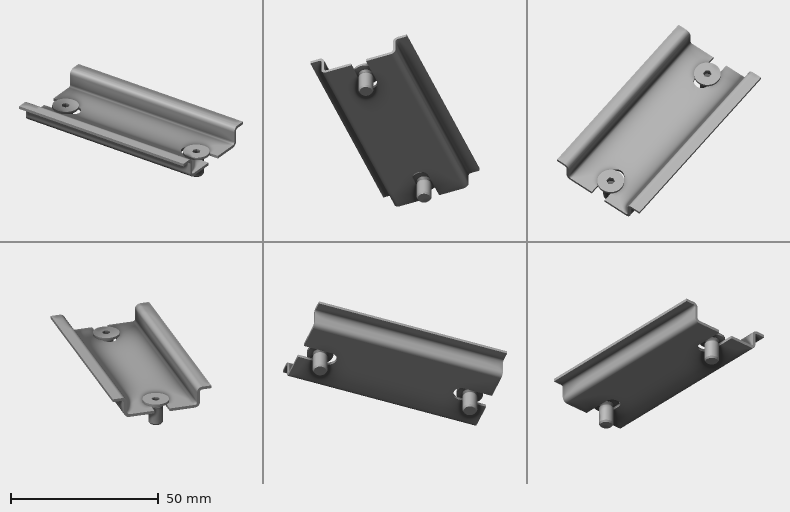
import cadquery as cq
import math

rail_length = 68.0
rail_width = 35.0
rail_height = 7.5
sheet = 1.0
channel_width = 27.0
inner_bend = 0.8
outer_bend = inner_bend + sheet

slot_width = 5.5
slot_depth = 12.8

screw_inset = 6.95
head_diameter = 9.05
head_height = 0.9
shank_diameter = 5.0
shank_length = 8.0
neck_diameter = 4.2
tip_chamfer_height = 0.6
shoulder_height = 0.7
neck_depth = 0.8
collar_height = 0.15
socket_flats = 2.5
socket_depth = 2.0


def make_rail():
    half_width = rail_width / 2
    outer_wall = channel_width / 2
    inner_wall = outer_wall - sheet
    flange_underside = rail_height - sheet
    half_section = [
        (0, 0),
        (outer_wall, 0),
        (outer_wall, flange_underside),
        (half_width, flange_underside),
        (half_width, rail_height),
        (inner_wall, rail_height),
        (inner_wall, sheet),
        (0, sheet),
    ]
    half = (
        cq.Workplane("YZ", origin=(-rail_length / 2, 0, 0))
        .polyline(half_section)
        .close()
        .extrude(rail_length)
    )

    def bend(body, y, z, radius):
        corner = cq.selectors.BoxSelector(
            (-rail_length, y - sheet / 2, z - sheet / 2),
            (rail_length, y + sheet / 2, z + sheet / 2),
        )
        return body.edges("|X").edges(corner).fillet(radius)

    half = bend(half, outer_wall, 0, outer_bend)
    half = bend(half, inner_wall, sheet, inner_bend)
    half = bend(half, outer_wall, flange_underside, inner_bend)
    half = bend(half, inner_wall, rail_height, outer_bend)
    rail = half.union(half.mirror("XZ")).clean()

    for side in (-1, 1):
        rail = rail.cut(slot_cutter(side))
    return rail


def slot_cutter(side):
    """Slot running in from the rail end at the given side, with a round inner end."""
    end_x = side * rail_length / 2
    arc_x = end_x - side * (slot_depth - slot_width / 2)
    tip_x = end_x - side * slot_depth
    return (
        cq.Workplane("XY")
        .moveTo(end_x, -slot_width / 2)
        .lineTo(arc_x, -slot_width / 2)
        .threePointArc((tip_x, 0), (arc_x, slot_width / 2))
        .lineTo(end_x, slot_width / 2)
        .close()
        .extrude(sheet)
    )


def make_screw(x):
    """Flat-head socket screw whose head rests on the channel floor."""
    head_radius = head_diameter / 2
    shank_radius = shank_diameter / 2
    neck_radius = neck_diameter / 2
    tip_radius = neck_radius
    head_top = sheet + head_height
    tip = sheet - shank_length
    neck_z = sheet - neck_depth
    half_profile = [
        (0, tip),
        (tip_radius, tip),
        (shank_radius, tip + tip_chamfer_height),
        (shank_radius, neck_z - shoulder_height),
        (neck_radius, neck_z),
        (shank_radius, sheet - collar_height),
        (shank_radius, sheet),
        (head_radius, sheet),
        (head_radius, head_top),
        (0, head_top),
    ]
    body = cq.Workplane("XZ").polyline(half_profile).close().revolve(360, (0, 0), (0, 1))
    socket = (
        cq.Workplane("XY", origin=(0, 0, head_top))
        .polygon(6, socket_flats / math.cos(math.pi / 6))
        .extrude(-socket_depth)
    )
    return body.cut(socket).translate((x, 0, 0))


rail = make_rail()
screw_x = rail_length / 2 - screw_inset
screws = [make_screw(side * screw_x) for side in (-1, 1)]

result = cq.Compound.makeCompound([rail.val(), *[screw.val() for screw in screws]])